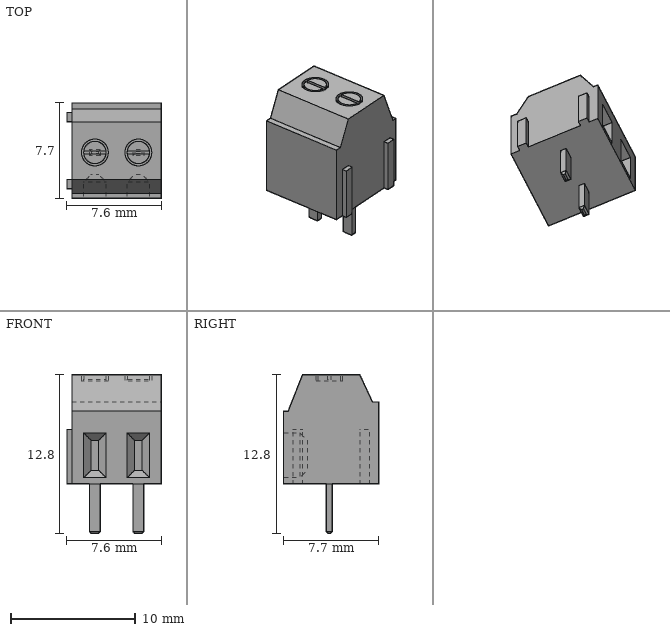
import cadquery as cq


POLE_COUNT = 2
PITCH = 3.5

HOUSING_LENGTH = 7.2
HOUSING_HEIGHT = 8.8
FRONT_Y = -3.7
BACK_Y = 4.0
FRONT_SHOULDER_Z = 2 / 3 * HOUSING_HEIGHT
BACK_SHOULDER_Z = 3 / 4 * HOUSING_HEIGHT
HOUSING_DEPTH = BACK_Y - FRONT_Y
FRONT_SHOULDER_DEPTH = HOUSING_DEPTH / 20
BACK_SHOULDER_DEPTH = HOUSING_DEPTH / 15
TOP_INSET = HOUSING_DEPTH / 5
TOP_FRONT_Y = FRONT_Y + TOP_INSET
TOP_BACK_Y = BACK_Y - TOP_INSET

RIB_THICKNESS = 0.4
RIB_WIDTH = HOUSING_DEPTH / 10
RIB_HEIGHT = HOUSING_HEIGHT / 2

ENTRY_WIDTH = 1.8
ENTRY_HEIGHT = 3.6
ENTRY_BOTTOM_Z = 0.5
ENTRY_STRAIGHT_DEPTH = 1.33
FUNNEL_INSET = 0.6
FUNNEL_DEPTH = FUNNEL_INSET

SCREW_DIAMETER = 1.8
SCREW_HOLE_DIAMETER = 2.16
SCREW_SLOT_WIDTH = 0.25
SCREW_GROOVE_DEPTH = 0.5
SCREW_SLOT_DEPTH = 0.4

PIN_WIDTH = 0.9
PIN_THICKNESS = 0.5
PIN_LENGTH = 4.0
PIN_TIP_CHAMFER = 0.17

pole_xs = [(i - (POLE_COUNT - 1) / 2) * PITCH for i in range(POLE_COUNT)]


def make_housing_block():
    """Side profile in the YZ plane, extruded along X."""
    profile = [
        (FRONT_Y, 0),
        (BACK_Y, 0),
        (BACK_Y, BACK_SHOULDER_Z),
        (BACK_Y - BACK_SHOULDER_DEPTH, BACK_SHOULDER_Z),
        (TOP_BACK_Y, HOUSING_HEIGHT),
        (TOP_FRONT_Y, HOUSING_HEIGHT),
        (FRONT_Y + FRONT_SHOULDER_DEPTH, FRONT_SHOULDER_Z),
        (FRONT_Y, FRONT_SHOULDER_Z),
    ]
    return cq.Workplane("YZ").polyline(profile).close().extrude(HOUSING_LENGTH / 2, both=True)


def make_side_rib(front_y):
    """Upright rib on the -X side, starting at front_y and running back by its width."""
    corner = (-HOUSING_LENGTH / 2 - RIB_THICKNESS, front_y, 0)
    return cq.Workplane("XY").box(RIB_THICKNESS, RIB_WIDTH, RIB_HEIGHT, centered=False).translate(corner)


def make_wire_entry(x):
    """Rectangular pocket in the front face that ends in a tapered funnel."""
    centre_z = ENTRY_BOTTOM_Z + ENTRY_HEIGHT / 2
    funnel_y = FRONT_Y + ENTRY_STRAIGHT_DEPTH
    pocket = (
        cq.Workplane("XZ", origin=(x, funnel_y, centre_z))
        .rect(ENTRY_WIDTH, ENTRY_HEIGHT)
        .extrude(ENTRY_STRAIGHT_DEPTH)
    )
    funnel = (
        cq.Workplane("XZ", origin=(x, funnel_y, centre_z))
        .rect(ENTRY_WIDTH, ENTRY_HEIGHT)
        .workplane(offset=-FUNNEL_DEPTH)
        .rect(ENTRY_WIDTH - 2 * FUNNEL_INSET, ENTRY_HEIGHT - 2 * FUNNEL_INSET)
        .loft(ruled=True)
    )
    return pocket.union(funnel)


def make_screw_groove(x):
    """Ring around the screw head plus the shallower driver slot across it."""
    ring_floor = cq.Workplane("XY", origin=(x, 0, HOUSING_HEIGHT - SCREW_GROOVE_DEPTH))
    ring = ring_floor.circle(SCREW_HOLE_DIAMETER / 2).circle(SCREW_DIAMETER / 2).extrude(SCREW_GROOVE_DEPTH)
    slot_floor = cq.Workplane("XY", origin=(x, 0, HOUSING_HEIGHT - SCREW_SLOT_DEPTH))
    slot = slot_floor.rect(SCREW_DIAMETER, SCREW_SLOT_WIDTH).extrude(SCREW_SLOT_DEPTH)
    return ring.union(slot)


def make_housing():
    """Block with side ribs on -X, and a wire entry and a screw head at each pole."""
    housing = make_housing_block()
    for rib_front_y in (TOP_FRONT_Y - RIB_WIDTH, TOP_BACK_Y):
        housing = housing.union(make_side_rib(rib_front_y))
    for x in pole_xs:
        housing = housing.cut(make_wire_entry(x))
        housing = housing.cut(make_screw_groove(x))
    return housing


def make_pin(x):
    """Flat pin hanging from the underside of the housing, with a chamfered tip."""
    return (
        cq.Workplane("XY", origin=(x, 0, 0))
        .rect(PIN_WIDTH, PIN_THICKNESS)
        .extrude(-PIN_LENGTH)
        .faces("<Z")
        .chamfer(PIN_TIP_CHAMFER)
    )


housing = make_housing()
pins = [make_pin(x) for x in pole_xs]

result = cq.Compound.makeCompound([housing.val(), *[pin.val() for pin in pins]])